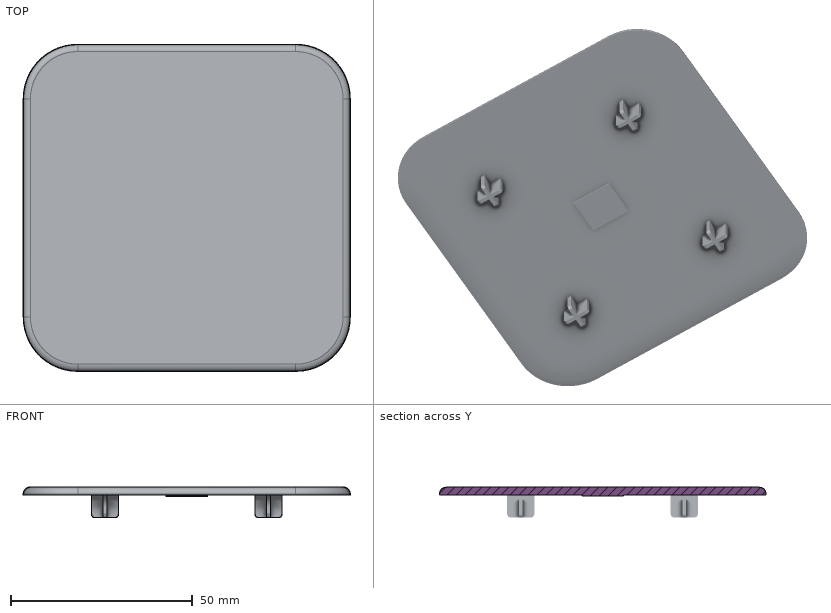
import cadquery as cq

plate_side = 90.0
plate_corner_radius = 15.0
plate_thickness = 2.25
plate_edge_fillet = 2.0

total_height = 8.5
peg_length = total_height - plate_thickness
peg_offset = plate_side / 4
peg_span = 7.5
peg_rib_thickness = 1.1
peg_tip_radius = 1.0

pad_length_x = 11.5
pad_y_min = -4.4
pad_y_max = 5.85
pad_height = 0.4


def make_plate():
    """Square plate with round corners and a rounded upper rim."""
    plate = cq.Workplane("XY").rect(plate_side, plate_side).extrude(plate_thickness)
    plate = plate.edges("|Z").fillet(plate_corner_radius)
    return plate.faces(">Z").edges().fillet(plate_edge_fillet)


def make_peg_rib():
    """Upright rib along X, hanging from Z = 0, with its tip ends rounded."""
    rib = cq.Workplane("XY").rect(peg_span, peg_rib_thickness).extrude(-peg_length)
    return rib.faces("<Z").edges("|Y").fillet(peg_tip_radius)


def make_peg():
    """Two equal ribs crossing at right angles."""
    rib = make_peg_rib()
    crossing_rib = rib.rotate((0, 0, 0), (0, 0, 1), 90)
    return rib.union(crossing_rib)


def make_pad():
    """Rectangular pad hanging from Z = 0, set off centre along Y."""
    pad_center_y = (pad_y_min + pad_y_max) / 2
    pad = cq.Workplane("XY").center(0, pad_center_y)
    return pad.rect(pad_length_x, pad_y_max - pad_y_min).extrude(-pad_height)


result = make_plate().union(make_pad())
peg = make_peg()
for x_sign in (-1, 1):
    for y_sign in (-1, 1):
        result = result.union(peg.translate((x_sign * peg_offset, y_sign * peg_offset, 0)))